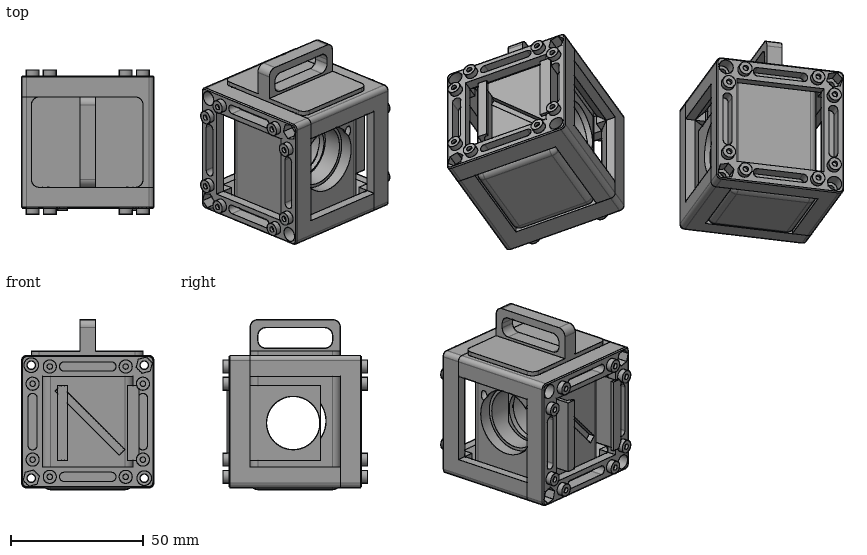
import cadquery as cq
import math


CUBE = 49.8
HALF = CUBE / 2
WINDOW = 34.0
OPENING = WINDOW / 2
RAIL = HALF - OPENING
LIP = 3.7
BEVEL = RAIL - LIP
EDGE_RADIUS = 1.9
FACE_CHAMFER = 0.45

BOLT_OFFSET = 21.25
BOLT_HOLE = 3.1
COUNTERBORE = 5.5
NUT_ACROSS_CORNERS = 6.35
NUT_TURN = 15.0
HEAD_RECESS = 5.75
SCREW_OFFSET = 20.75
SCREW_SPREAD = 14.3
SCREW_HEAD = 4.9
SCREW_TIP = 27.2
SOCKET = 2.05
SOCKET_DEPTH = 1.3
SLOT_LENGTH = 21.25
SLOT_WIDTH = 3.45
SLOT_DEPTH = 5.0

BAR_HEIGHT = 28.1
BAR_Z = -0.5
BAR_FRONT = -25.65
BAR_HEAD_DEPTH = 1.1
BAR_BOTTOM = BAR_Z - BAR_HEIGHT / 2
BAR_TOP = BAR_Z + BAR_HEIGHT / 2
BAR_HEAD_BACK = BAR_FRONT + BAR_HEAD_DEPTH
SLIDER_HEAD_LEFT = 14.9
SLIDER_RIGHT = 19.25
SLIDER_END = 9.55
APERTURE = 20.0
APERTURE_Y = -0.8
APERTURE_Z = BAR_Z
FIXED_BAR_LEFT = -11.3
FIXED_BAR_WIDTH = 3.65
FIXED_BAR_WEB = 1.55

INSERT_BOTTOM = -25.6
INSERT_RADIUS = 2.95
LID_LENGTH = 42.0
LID_SHIFT = -0.2
LID_TOP = 26.55
HANDLE_WIDTH = 6.0
HANDLE_TOP = 38.4
GRIP_BOTTOM = 27.65
GRIP_TOP = 35.3
GRIP_LENGTH = 28.0
BORE = 23.05
BORE_Z = 0.25
FILTER_SEAT = 25.4
FILTER_SEAT_DEPTH = 5.0
PARTITION_LEFT = -4.55
PARTITION_RIGHT = -2.2
MIRROR_X = 0.8
MIRROR_Z = 0.5
MIRROR_LENGTH = 34.1
MIRROR_THICKNESS = 3.0
MIRROR_DEPTH = 2.5
SET_HOLE = 2.8
SET_HOLE_Y = 11.0
SET_HOLE_Z = 8.25
SET_HOLE_DEPTH = 7.7

FRONT = cq.Workplane("XZ")


def box(x0, x1, y0, y1, z0, z1):
    return cq.Workplane("XY").box(x1 - x0, y1 - y0, z1 - z0, centered=False).translate((x0, y0, z0))


def front_plane(y):
    return FRONT.workplane(offset=-y)


def face_frame():
    """Square window frame on the -Y side, bevelled inside along each of its rails."""
    frame = (
        front_plane(-OPENING).rect(CUBE, CUBE).extrude(RAIL)
        .edges("|Y").fillet(EDGE_RADIUS)
        .faces("<Y").edges().chamfer(FACE_CHAMFER)
        .cut(front_plane(0).rect(WINDOW, WINDOW).extrude(CUBE))
    )
    bevel = (
        cq.Workplane("YZ").workplane(offset=-OPENING)
        .moveTo(-OPENING - BEVEL, OPENING)
        .lineTo(-OPENING, OPENING)
        .lineTo(-OPENING, OPENING + BEVEL)
        .close().extrude(WINDOW)
    )
    for quarter in range(4):
        frame = frame.cut(bevel.rotate((0, 0, 0), (0, 1, 0), 90 * quarter))
    return frame


def post():
    """Post along Y in the -X, +Z corner, rounded outside and bevelled inside."""
    return (
        front_plane(OPENING)
        .moveTo(-HALF, OPENING)
        .lineTo(-HALF, HALF)
        .lineTo(-OPENING, HALF)
        .lineTo(-OPENING, OPENING + BEVEL)
        .lineTo(-OPENING - BEVEL, OPENING)
        .close().extrude(WINDOW)
        .edges("|Y and <X and >Z").fillet(EDGE_RADIUS)
    )


def cut_bolt_holes(half):
    """Through holes in the corners: counterbored at the posts, hexagonal nut pockets elsewhere."""
    post_corners = [(-BOLT_OFFSET, BOLT_OFFSET), (BOLT_OFFSET, -BOLT_OFFSET)]
    nut_corners = [(BOLT_OFFSET, BOLT_OFFSET), (-BOLT_OFFSET, -BOLT_OFFSET)]
    holes = front_plane(HALF).pushPoints(post_corners + nut_corners).circle(BOLT_HOLE / 2).extrude(CUBE)
    half = half.cut(holes)
    recess_plane = front_plane(HEAD_RECESS - HALF)
    half = half.cut(recess_plane.pushPoints(post_corners).circle(COUNTERBORE / 2).extrude(HEAD_RECESS))
    nut = recess_plane.polygon(6, NUT_ACROSS_CORNERS).extrude(HEAD_RECESS)
    nut = nut.rotate((0, 0, 0), (0, 1, 0), -NUT_TURN)
    for x, z in nut_corners:
        half = half.cut(nut.translate((x, 0, z)))
    return half


def cut_rail_slots(half):
    slot = (
        front_plane(SLOT_DEPTH - HALF).center(0, SCREW_OFFSET)
        .slot2D(SLOT_LENGTH, SLOT_WIDTH).extrude(SLOT_DEPTH)
    )
    for quarter in range(4):
        half = half.cut(slot.rotate((0, 0, 0), (0, 1, 0), 90 * quarter))
    return half


def add_screw_heads(half):
    """Two socket screw heads standing on each rail."""
    points = []
    for a in (-1, 1):
        for b in (-1, 1):
            points.append((a * SCREW_OFFSET, b * SCREW_SPREAD))
            points.append((a * SCREW_SPREAD, b * SCREW_OFFSET))
    heads = front_plane(-HALF).pushPoints(points).circle(SCREW_HEAD / 2).extrude(SCREW_TIP - HALF)
    sockets = (
        front_plane(SOCKET_DEPTH - SCREW_TIP).pushPoints(points)
        .circle(SOCKET / 2).extrude(SOCKET_DEPTH)
    )
    return half.union(heads).cut(sockets)


def frame_half():
    """The -Y half: a face frame with two diagonally opposite posts."""
    half = face_frame().union(post())
    half = half.union(post().rotate((0, 0, 0), (0, 1, 0), 180))
    return cut_rail_slots(cut_bolt_holes(half))


def disc(diameter, x0, x1, y, z):
    """Round bar along X between x0 and x1."""
    return cq.Workplane("YZ").workplane(offset=x0).center(y, z).circle(diameter / 2).extrude(x1 - x0)


def aperture(x0, x1):
    return disc(APERTURE, x0, x1, APERTURE_Y, APERTURE_Z)


def slider_blank():
    """Plate along the +X side of the insert, with a wider head at its front end."""
    head = box(SLIDER_HEAD_LEFT, SLIDER_RIGHT, BAR_FRONT, BAR_HEAD_BACK, BAR_BOTTOM, BAR_TOP)
    plate = box(OPENING, SLIDER_RIGHT, BAR_HEAD_BACK, SLIDER_END, BAR_BOTTOM, BAR_TOP)
    return head.union(plate)


def fixed_bar():
    """L-shaped bar on the front of the insert, with a bevelled inner corner."""
    web_right = FIXED_BAR_LEFT + FIXED_BAR_WEB
    bar_right = FIXED_BAR_LEFT + FIXED_BAR_WIDTH
    return (
        cq.Workplane("XY").workplane(offset=BAR_BOTTOM)
        .moveTo(FIXED_BAR_LEFT, BAR_FRONT)
        .lineTo(bar_right, BAR_FRONT)
        .lineTo(bar_right, BAR_HEAD_BACK)
        .lineTo(web_right + BAR_HEAD_DEPTH, BAR_HEAD_BACK)
        .lineTo(web_right, BAR_HEAD_BACK + BAR_HEAD_DEPTH)
        .lineTo(web_right, -OPENING)
        .lineTo(FIXED_BAR_LEFT, -OPENING)
        .close().extrude(BAR_HEIGHT)
    )


def insert_body():
    block = (
        box(-OPENING, OPENING, -OPENING, OPENING, INSERT_BOTTOM, HALF)
        .edges("|Z or <Z").fillet(INSERT_RADIUS)
    )
    half_lid = LID_LENGTH / 2
    lid = (
        box(-half_lid, half_lid, -OPENING, OPENING, HALF, LID_TOP)
        .edges("|Z").fillet(INSERT_RADIUS)
        .translate((LID_SHIFT, 0, 0))
    )
    half_handle = HANDLE_WIDTH / 2
    half_grip = GRIP_LENGTH / 2
    handle = (
        box(-half_handle, half_handle, -OPENING, OPENING, LID_TOP, HANDLE_TOP)
        .edges("|X and >Z").fillet(INSERT_RADIUS)
    )
    grip = (
        box(-half_handle, half_handle, -half_grip, half_grip, GRIP_BOTTOM, GRIP_TOP)
        .edges("|X").fillet(INSERT_RADIUS)
    )
    return block.union(lid).union(handle.cut(grip))


def mirror_slot():
    """Slot at 45 degrees, open to the front, descending toward +X."""
    slot = front_plane(MIRROR_DEPTH - OPENING).rect(MIRROR_LENGTH, MIRROR_THICKNESS).extrude(MIRROR_DEPTH)
    return slot.rotate((0, 0, 0), (0, 1, 0), 45).translate((MIRROR_X, 0, MIRROR_Z))


def partition():
    """Thin wall across the bore, cut off straight on its +Y side, with an offset aperture."""
    wall = disc(BORE, PARTITION_LEFT, PARTITION_RIGHT, 0, BORE_Z)
    wall = wall.intersect(box(PARTITION_LEFT, PARTITION_RIGHT, -HALF, SLIDER_END, -HALF, HALF))
    return wall.cut(aperture(PARTITION_LEFT, PARTITION_RIGHT))


def set_hole(y):
    """Hole entering the -X face and rising inward at 45 degrees."""
    start_shift = SET_HOLE * math.sqrt(0.5)
    start = cq.Vector(-OPENING - start_shift, y, SET_HOLE_Z - start_shift)
    length = SET_HOLE + SET_HOLE_DEPTH
    return cq.Workplane(cq.Solid.makeCylinder(SET_HOLE / 2, length, start, cq.Vector(1, 0, 1)))


def optics_insert():
    insert = insert_body().union(fixed_bar())
    insert = insert.cut(disc(BORE, -OPENING, OPENING, 0, BORE_Z))
    insert = insert.cut(disc(FILTER_SEAT, -OPENING, FILTER_SEAT_DEPTH - OPENING, 0, BORE_Z))
    insert = insert.cut(mirror_slot()).union(partition())
    for y in (-SET_HOLE_Y, SET_HOLE_Y):
        insert = insert.cut(set_hole(y))
    return insert


front_half = add_screw_heads(frame_half().cut(slider_blank()))
rear_half = add_screw_heads(frame_half()).rotate((0, 0, 0), (0, 0, 1), 180)
insert = optics_insert()
slider = slider_blank().cut(front_half).cut(aperture(OPENING, SLIDER_RIGHT))

result = cq.Compound.makeCompound([front_half.val(), rear_half.val(), insert.val(), slider.val()])